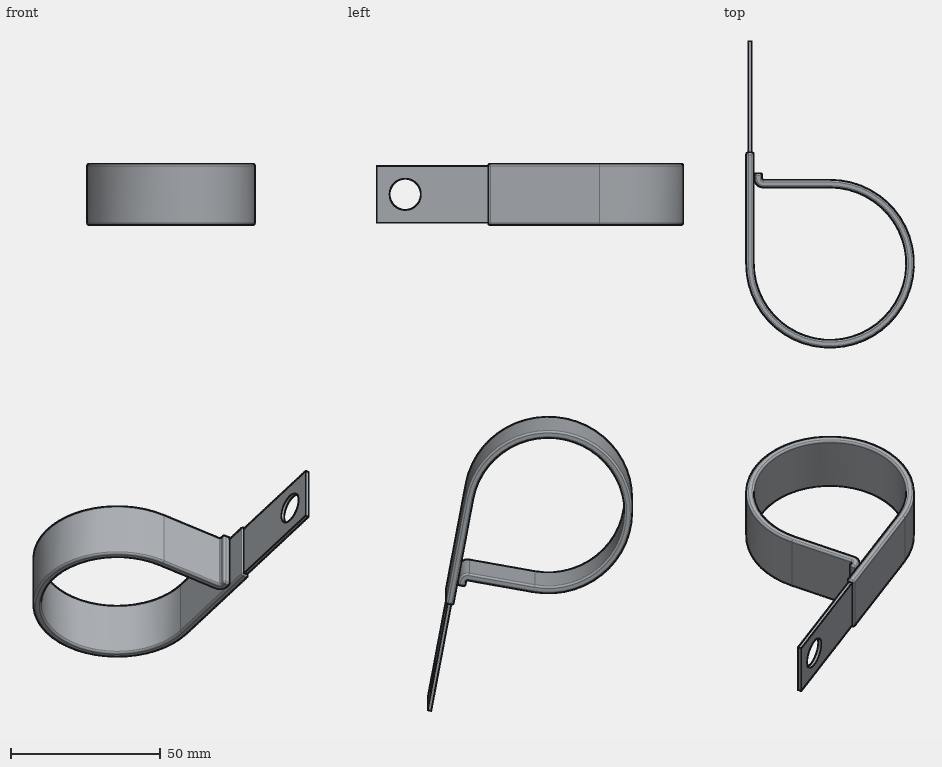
import cadquery as cq
import math

total_length = 102.8
cover_width = 20.6
outer_radius = 28.2
cover_thickness = 0.7
strap_thickness = 1.2
cover_end_y = 37.3
hook_end_y = 30.3
hook_gap = 0.1
hook_inner_radius = 0.4
hole_diameter = 10.4

band_thickness = strap_thickness + 2 * cover_thickness
strap_width = cover_width - 2 * cover_thickness
mid_radius = outer_radius - band_thickness / 2
hook_bend_radius = hook_inner_radius + band_thickness / 2
hook_x = -mid_radius + band_thickness + hook_gap
tab_end_y = total_length - outer_radius
hole_y = tab_end_y - strap_width / 2


def make_covered_band():
    """Band along the leg, loop, flat return and hook, with rounded edges."""
    diagonal = math.sqrt(0.5)
    bend_center_x = hook_x + hook_bend_radius
    bend_center_y = mid_radius + hook_bend_radius
    centerline = (
        cq.Workplane("XY")
        .moveTo(-mid_radius, cover_end_y)
        .lineTo(-mid_radius, 0)
        .threePointArc((mid_radius * diagonal, -mid_radius * diagonal), (0, mid_radius))
        .lineTo(bend_center_x, mid_radius)
        .threePointArc(
            (
                bend_center_x - hook_bend_radius * diagonal,
                bend_center_y - hook_bend_radius * diagonal,
            ),
            (hook_x, bend_center_y),
        )
        .lineTo(hook_x, hook_end_y)
    )
    band = (
        cq.Workplane("XZ", origin=(-mid_radius, cover_end_y, 0))
        .rect(band_thickness, cover_width)
        .sweep(centerline)
    )
    hook_end = cq.selectors.NearestToPointSelector((hook_x, hook_end_y, 0))
    end_faces = band.faces(">Y").add(band.faces(hook_end))
    rounded_edges = band.faces("|Z").edges().add(end_faces.edges("|Z"))
    return band.newObject(rounded_edges.vals()).fillet(cover_thickness)


def make_tab():
    """Bare end of the metal strap with its mounting hole."""
    overlap = cover_thickness
    tab_start_y = cover_end_y - overlap
    tab = cq.Workplane("XY").box(
        strap_thickness, tab_end_y - tab_start_y, strap_width, centered=(True, False, True)
    ).translate((-mid_radius, tab_start_y, 0))
    hole = (
        cq.Workplane("YZ", origin=(-mid_radius, hole_y, 0))
        .circle(hole_diameter / 2)
        .extrude(strap_thickness, both=True)
    )
    return tab.cut(hole)


result = make_covered_band().union(make_tab())